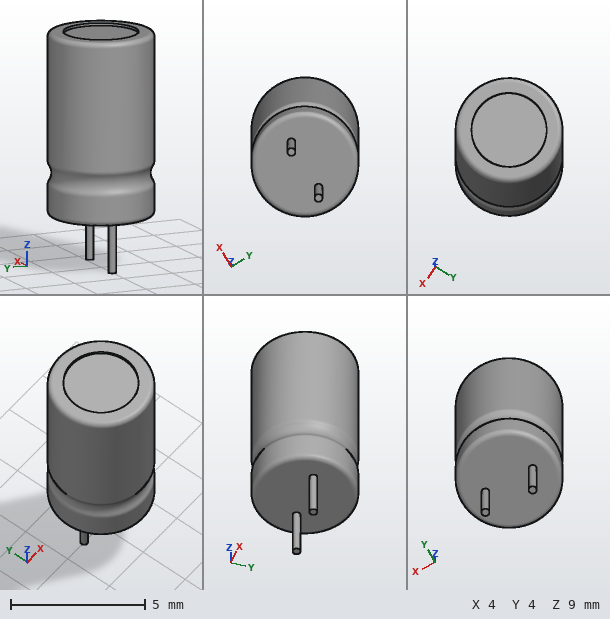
import cadquery as cq
import math

can_radius = 2.0
total_height = 9.0
can_bottom = 2.0
edge_radius = 0.2

groove_height = 3.61
groove_depth = 0.14
waist_arc_radius = 0.6
shoulder_arc_radius = 0.3

recess_diameter = 2.8
recess_depth = 0.1

lead_diameter = 0.3
lead_spacing = 2.0
short_lead_bottom = 0.1
lead_embed = 0.09


def make_can():
    """Revolve the half profile of the grooved can about the Z axis."""
    radius_sum = waist_arc_radius + shoulder_arc_radius
    half_groove = math.sqrt(radius_sum**2 - (radius_sum - groove_depth) ** 2)
    sweep = math.asin(half_groove / radius_sum)
    waist_radius = can_radius - groove_depth
    seam_radius = waist_radius + waist_arc_radius * (1 - math.cos(sweep))
    half_waist = waist_arc_radius * math.sin(sweep)

    shoulder_mid_radius = can_radius - shoulder_arc_radius * (1 - math.cos(sweep / 2))
    half_shoulder_mid = half_groove - shoulder_arc_radius * math.sin(sweep / 2)

    profile = (
        cq.Workplane("XZ")
        .moveTo(0, can_bottom)
        .lineTo(can_radius, can_bottom)
        .lineTo(can_radius, groove_height - half_groove)
        .threePointArc(
            (shoulder_mid_radius, groove_height - half_shoulder_mid),
            (seam_radius, groove_height - half_waist),
        )
        .threePointArc((waist_radius, groove_height), (seam_radius, groove_height + half_waist))
        .threePointArc(
            (shoulder_mid_radius, groove_height + half_shoulder_mid),
            (can_radius, groove_height + half_groove),
        )
        .lineTo(can_radius, total_height)
        .lineTo(0, total_height)
        .close()
    )
    can = profile.revolve(360, (0, 0, 0), (0, 1, 0))
    return can.faces("<Z or >Z").edges().fillet(edge_radius)


def make_recess():
    floor = cq.Workplane("XY").workplane(offset=total_height - recess_depth)
    return floor.circle(recess_diameter / 2).extrude(recess_depth)


def make_lead(x, bottom):
    """Lead from its free end up into the can, so that the two join solidly."""
    length = can_bottom + lead_embed - bottom
    return cq.Workplane("XY", origin=(x, 0, bottom)).circle(lead_diameter / 2).extrude(length)


result = make_can().cut(make_recess())
for lead_x, lead_bottom in ((-lead_spacing / 2, 0), (lead_spacing / 2, short_lead_bottom)):
    result = result.union(make_lead(lead_x, lead_bottom))